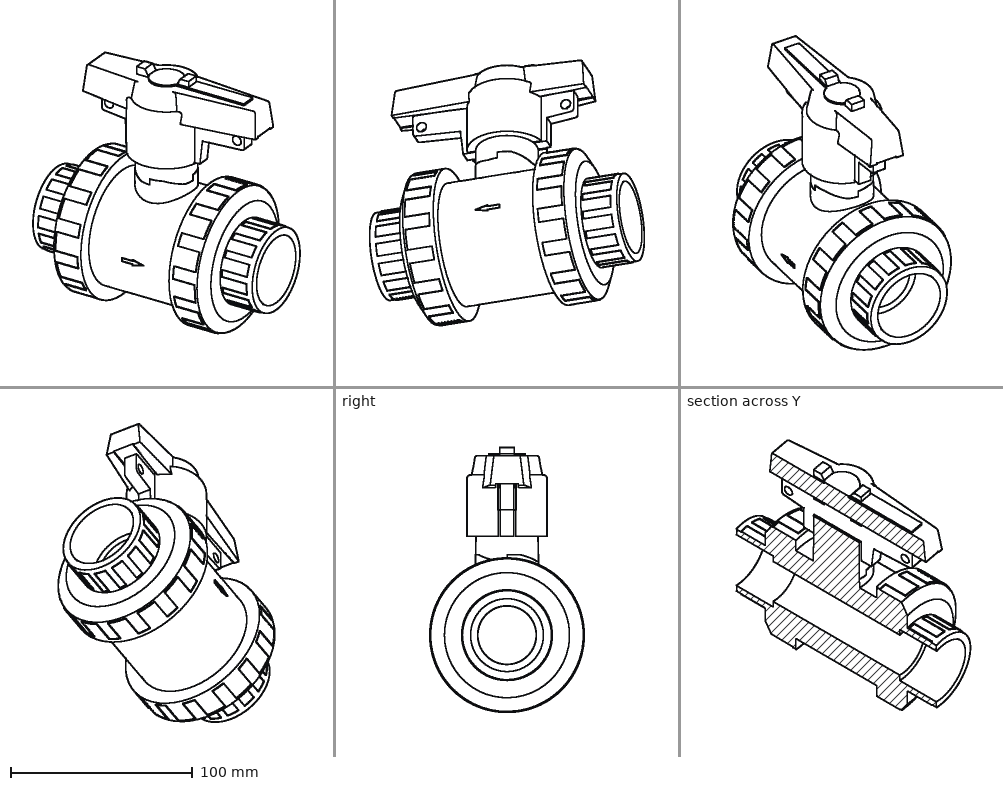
import cadquery as cq
import math


overall_height = 145.8
overall_length = 143.0
nut_diameter = 85.0

nut_radius = nut_diameter / 2
top_z = overall_height - nut_radius
pipe_end_x = overall_length / 2

body_radius = 34.4
nut_inner_x = 28.7
nut_outer_x = 50.9
nut_cone_x = 46.6
nut_face_radius = 34.4
nut_base_radius = 42.0
nut_teeth_outer_x = 45.3
nut_gap_inner_x = 31.2
nut_tooth_angle = 15.5

pipe_base_radius = 24.5
pipe_grip_radius = 24.9
pipe_teeth_outer_x = 68.0
pipe_gap_inner_x = 51.7
pipe_tooth_angle = 16.2
socket_diameter = 40.1
socket_radius = socket_diameter / 2
socket_depth = 26.2
bore_radius = 16.0

tooth_count = 14
tooth_phase = 5.2
comb_embedding = 1.5

arrow_half_length = 7.0
arrow_shaft_half_width = 1.0
arrow_head_half_width = 1.7
arrow_height = 0.5

stem_radius = 17.2
stem_top_z = 68.8
cam_radius = 17.3
cam_low_z = 40.7
cam_high_z = 44.2
cam_count = 4
cam_slope_centre = 48.0
cam_slope_half_angle = 22.0

hub_radius = 22.0
hub_bottom_z = 54.2
hub_top_z = 88.0
hub_fillet = 1.7
hub_slot_width = 9.6
slot_top_z = 83.1
crown_base_radius = 19.5
crown_top_radius = 17.5
crown_fillet = 1.5

handle_top_z = 98.7
handle_middle_z = 81.0
handle_end_z = 82.5
handle_bend_x = 17.5
left_end_x = -47.8
right_end_x = 63.8
end_lean = 1.5
end_fillet = 1.5
arm_centre_half_width = 14.9
arm_narrowing = 0.085
arm_side_lean = 2.3
channel_width = 12.2

cap_radius = 9.9
cap_top_z = 99.7
tab_width = 8.0
tab_outer_x = 16.9
tab_inner_x = 11.5
tab_foot_x = 9.5
strip_width = 9.0
strip_end_x = 53.4

plate_thickness = 7.6
plate_left_x = -39.8
plate_right_x = 53.2
plate_fillet = 1.7
plate_ear_bottom_z = 70.4
plate_ear_root_z = 68.8
plate_left_root_x = -24.3
plate_right_root_x = 25.8
plate_foot_x = 24.2
eyelet_radius = 2.8
eyelet_z = 75.4
eyelet_left_x = -35.1
eyelet_right_x = 48.2


def x_cylinder(radius, start, end):
    return cq.Workplane("YZ").workplane(offset=start).circle(radius).extrude(end - start)


def z_cylinder(radius, bottom, top):
    return cq.Workplane("XY").workplane(offset=bottom).circle(radius).extrude(top - bottom)


def side_profile(points, width):
    """Prism of an X-Z outline, centred on Y = 0."""
    return cq.Workplane("XZ").polyline(points).close().extrude(width / 2, both=True)


def make_grip_comb(root_radius, tip_radius, tooth_angle, teeth_outer_x, teeth_inner_x):
    """Ring on the -X side with grip teeth pointing to -X, sunk a little below the root radius."""
    inner_radius = root_radius - comb_embedding
    outer_radius = tip_radius + comb_embedding
    axis_end = (-1, 0, 0)
    gap_angle = 360 / tooth_count - tooth_angle
    comb = x_cylinder(tip_radius, -teeth_outer_x, -nut_inner_x)
    comb = comb.cut(x_cylinder(inner_radius, -teeth_outer_x, -nut_inner_x))
    gap = (
        cq.Workplane("XY")
        .polyline([
            (-teeth_outer_x - comb_embedding, comb_embedding - inner_radius),
            (-teeth_outer_x - comb_embedding, -outer_radius),
            (-teeth_inner_x, -outer_radius),
            (-teeth_inner_x, comb_embedding - inner_radius),
        ])
        .close()
        .revolve(gap_angle, (0, 0, 0), axis_end)
    )
    for index in range(tooth_count):
        tooth_middle = tooth_phase + index * 360 / tooth_count
        comb = comb.cut(gap.rotate((0, 0, 0), axis_end, tooth_middle + tooth_angle / 2), clean=False)
    return comb


def make_nut():
    nut = (
        cq.Workplane("XY")
        .polyline([
            (-nut_outer_x, 0),
            (-nut_outer_x, nut_face_radius),
            (-nut_cone_x, nut_base_radius),
            (-nut_inner_x, nut_base_radius),
            (-nut_inner_x, 0),
        ])
        .close()
        .revolve(360, (0, 0, 0), (1, 0, 0))
    )
    comb = make_grip_comb(
        nut_base_radius, nut_radius, nut_tooth_angle, nut_teeth_outer_x, nut_gap_inner_x
    )
    return nut.union(comb, clean=False)


def make_pipe_end():
    pipe = x_cylinder(pipe_base_radius, -pipe_end_x, -nut_inner_x)
    comb = make_grip_comb(
        pipe_base_radius, pipe_grip_radius, pipe_tooth_angle, pipe_teeth_outer_x, pipe_gap_inner_x
    )
    return pipe.union(comb, clean=False)


def make_arrows():
    """Flow arrows pointing to +X, standing slightly proud of the body."""
    arrow = side_profile(
        [
            (-arrow_half_length, -arrow_shaft_half_width),
            (0, -arrow_shaft_half_width),
            (0, -arrow_head_half_width),
            (arrow_half_length, 0),
            (0, arrow_head_half_width),
            (0, arrow_shaft_half_width),
            (-arrow_half_length, arrow_shaft_half_width),
        ],
        nut_diameter,
    )
    raised = x_cylinder(body_radius + arrow_height, -nut_inner_x, nut_inner_x)
    return raised.intersect(arrow)


def make_stop_cams():
    """Collar around the stem foot whose top rises in one step per quarter turn."""
    ramp_half = cam_radius * math.sin(math.radians(cam_slope_half_angle))
    quarter = cq.Workplane("XY").rect(cam_radius, cam_radius, centered=False).extrude(cam_high_z)
    ramp = (
        cq.Workplane("YZ")
        .polyline([
            (-cam_radius, 0),
            (-cam_radius, cam_high_z),
            (-ramp_half, cam_high_z),
            (ramp_half, cam_low_z),
            (cam_radius, cam_low_z),
            (cam_radius, 0),
        ])
        .close()
        .extrude(cam_radius, both=True)
        .rotate((0, 0, 0), (0, 0, 1), cam_slope_centre)
    )
    cam = z_cylinder(cam_radius, 0, cam_high_z).intersect(quarter).intersect(ramp)
    collar = cam
    for index in range(1, cam_count):
        collar = collar.union(cam.rotate((0, 0, 0), (0, 0, 1), index * 360 / cam_count))
    return collar


def make_hub():
    hub = z_cylinder(hub_radius, hub_bottom_z, hub_top_z).faces(">Z").edges().fillet(hub_fillet)
    crown_height = handle_top_z - hub_top_z
    crown_taper = math.degrees(math.atan((crown_base_radius - crown_top_radius) / crown_height))
    crown = (
        cq.Workplane("XY")
        .workplane(offset=hub_top_z)
        .circle(crown_base_radius)
        .extrude(crown_height, taper=crown_taper)
        .faces(">Z").edges().fillet(crown_fillet)
    )
    return hub.union(crown)


def make_arms():
    """Two tapering arms with leaning sides, trimmed to their side outline."""
    reach = right_end_x + end_lean
    tip_half_width = arm_centre_half_width - arm_narrowing * reach
    height = handle_top_z - handle_middle_z
    plan = (
        cq.Workplane("XY")
        .workplane(offset=handle_middle_z)
        .polyline([
            (-reach, -tip_half_width),
            (0, -arm_centre_half_width),
            (reach, -tip_half_width),
            (reach, tip_half_width),
            (0, arm_centre_half_width),
            (-reach, tip_half_width),
        ])
        .close()
        .extrude(height, taper=math.degrees(math.atan(arm_side_lean / height)))
    )
    outline = side_profile(
        [
            (left_end_x, handle_end_z),
            (-handle_bend_x, handle_middle_z),
            (handle_bend_x, handle_middle_z),
            (right_end_x, handle_end_z),
            (right_end_x - end_lean, handle_top_z),
            (left_end_x + end_lean, handle_top_z),
        ],
        nut_diameter,
    )
    arms = plan.intersect(outline)
    return arms.faces(">Z").edges("|Y").fillet(end_fillet)


def make_top_details():
    """Round cap, two stop tabs and the long raised strip on the +X arm."""
    cap = z_cylinder(cap_radius, hub_top_z, cap_top_z)
    tab = side_profile(
        [
            (tab_foot_x, handle_middle_z),
            (tab_foot_x, cap_top_z),
            (tab_inner_x, top_z),
            (tab_outer_x, top_z),
            (tab_outer_x, handle_middle_z),
        ],
        tab_width,
    )
    strip = side_profile(
        [
            (0, hub_top_z),
            (0, cap_top_z),
            (strip_end_x, cap_top_z),
            (strip_end_x, hub_top_z),
        ],
        strip_width,
    )
    return cap.union(tab).union(tab.mirror("YZ")).union(strip)


def make_key_plate():
    """Upright plate with an eyelet in each ear, rounded at the outer ear corners."""
    plate = side_profile(
        [
            (plate_left_x, hub_top_z),
            (plate_left_x, plate_ear_bottom_z),
            (plate_left_root_x, plate_ear_root_z),
            (-plate_foot_x, hub_bottom_z),
            (plate_foot_x, hub_bottom_z),
            (plate_right_root_x, plate_ear_root_z),
            (plate_right_x, plate_ear_bottom_z),
            (plate_right_x, hub_top_z),
        ],
        plate_thickness,
    )
    ear_corners = cq.selectors.BoxSelector(
        (plate_left_x - 1.5, -plate_thickness, plate_ear_bottom_z - 0.1),
        (plate_right_x + 1.5, plate_thickness, plate_ear_bottom_z + 0.1),
    )
    plate = plate.edges("|Y").edges(ear_corners).fillet(plate_fillet)
    eyelets = (
        cq.Workplane("XZ")
        .pushPoints([(eyelet_left_x, eyelet_z), (eyelet_right_x, eyelet_z)])
        .circle(eyelet_radius)
        .extrude(plate_thickness, both=True)
    )
    return plate.cut(eyelets)


def make_handle():
    """Hub and arms, slotted underneath for the key plate."""
    handle_length = right_end_x - left_end_x
    handle_centre_x = (right_end_x + left_end_x) / 2
    slot_height = slot_top_z - hub_bottom_z
    slot = (
        cq.Workplane("XY", origin=(0, 0, hub_bottom_z))
        .box(2 * hub_radius, hub_slot_width, slot_height, centered=(True, True, False))
    )
    channel = (
        cq.Workplane("XY", origin=(handle_centre_x, 0, hub_bottom_z))
        .box(handle_length, channel_width, slot_height, centered=(True, True, False))
    )
    arms = make_arms().cut(channel)
    handle = make_hub().union(arms).cut(slot)
    return handle.union(make_top_details()).union(make_key_plate())


union_end = make_nut().union(make_pipe_end(), clean=False)
housing = x_cylinder(body_radius, -nut_inner_x, nut_inner_x)
housing = housing.union(make_arrows())
for turn in (0, 180):
    housing = housing.union(union_end.rotate((0, 0, 0), (0, 0, 1), turn), clean=False)

stem = z_cylinder(stem_radius, 0, stem_top_z).union(make_stop_cams())
valve = housing.union(stem, clean=False).union(make_handle(), clean=False)

valve = valve.cut(x_cylinder(bore_radius, -pipe_end_x, pipe_end_x), clean=False)
valve = valve.cut(x_cylinder(socket_radius, -pipe_end_x, socket_depth - pipe_end_x), clean=False)
valve = valve.cut(x_cylinder(socket_radius, pipe_end_x - socket_depth, pipe_end_x), clean=False)

result = valve